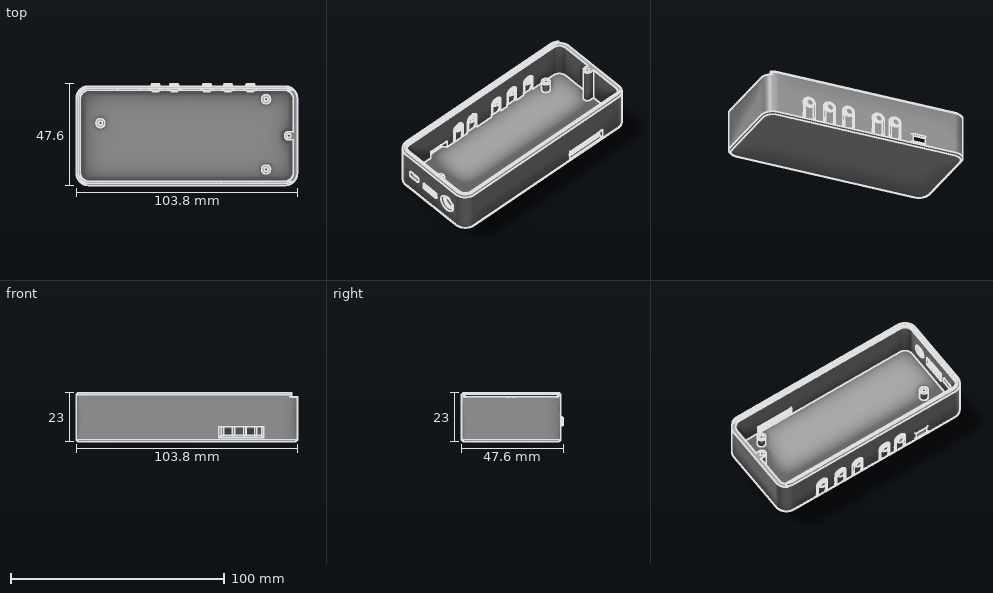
import cadquery as cq
import math

length = 103.8
overall_width = 47.6
height = 23.0
wall = 2.0
floor = 2.0
corner_radius = 6.0
edge_chamfer = 1.0

lid_depth = 2.0
lid_undercut = 1.0
dovetail_height = 1.2
rim_end_x = 49.2

post_radius = 2.1
screw_hole_radius = 0.9
post_height = 5.3
post_centers = [(-40.5, 5.9), (37.2, 17.1), (37.2, -15.8)]
boss_radius = 2.0
boss_x = 47.8

plain_button_x = -14.6
hinged_button_xs = [-5.9, 9.4, 19.3, 29.8]
button_z = 9.5
tongue_radius = 2.1
tongue_gap = 0.9
hinge_top_z = 6.0
hinge_thickness = 1.2
cap_radius = 2.1
cap_height = 1.0
cap_bevel_height = 0.6
cap_bevel_width = 0.3
pusher_base_radius = 1.9
pusher_tip_radius = 1.2
pusher_height = 0.6

wheel_radius = 6.5
wheel_x = -27.1
wheel_inset = 3.8
wheel_height = 4.0

card_left = 15.0
card_right = 36.1
card_bottom = 2.0
card_top = 7.0
card_bevel = 1.0

switch_y = 11.4
switch_z = 11.2
switch_width = 6.0
switch_height = 3.5
switch_corner_radius = 1.0
port_y = 0.6
port_z = 10.3
port_width = 9.4
port_height = 3.5
port_corner_radius = 1.0
port_skin = 1.0
port_pocket_margin = 1.0
jack_y = -11.2
jack_z = 10.9
jack_radius = 3.2
jack_chamfer = 1.0

width = overall_width - cap_height
inner_x = length / 2 - wall
inner_y = width / 2 - wall
outer_y = width / 2
lid_seat_z = height - lid_depth


def rounded_block(x_size, y_size, z_size, radius, z_base):
    """Upright block with rounded vertical corners, standing on z_base."""
    block = cq.Workplane("XY").box(x_size, y_size, z_size, centered=(True, True, False))
    return block.edges("|Z").fillet(radius).translate((0, 0, z_base))


def make_shell():
    """Open-topped case with chamfered outer rims."""
    body = rounded_block(length, width, height, corner_radius, 0)
    body = body.faces(">Z or <Z").chamfer(edge_chamfer)
    cavity = rounded_block(2 * inner_x, 2 * inner_y, height, corner_radius - wall, floor)
    return body.cut(cavity)


def make_lid_groove():
    """Lid-shaped cutter with a dovetail above the seat, running out past the +X end.

    Past rim_end_x it spans the full width, so the side rims end square.
    """
    inset = wall - lid_undercut
    lid_start = -length / 2 + inset
    lid_end = length / 2 + 2 * corner_radius
    lid_length = lid_end - lid_start
    seat_width = width - 2 * inset
    center_x = (lid_start + lid_end) / 2
    taper = math.degrees(math.atan(lid_undercut / dovetail_height))
    dovetail = (
        cq.Workplane("XY", origin=(center_x, 0, lid_seat_z))
        .sketch()
        .rect(lid_length, seat_width)
        .vertices()
        .fillet(corner_radius - inset)
        .finalize()
        .extrude(dovetail_height, taper=taper)
    )
    mouth_length = lid_length - 2 * lid_undercut
    mouth = rounded_block(mouth_length, 2 * inner_y, lid_depth, corner_radius - wall, lid_seat_z)
    mouth = mouth.translate((center_x, 0, 0))
    end_trim = cq.Workplane("XY", origin=(rim_end_x, 0, lid_seat_z)).box(
        length, length, lid_depth, centered=(False, True, False)
    )
    return dovetail.union(mouth).union(end_trim)


def make_boss():
    """Screw boss joined to the +X wall by a rib of its own width."""
    boss_height = lid_seat_z - floor
    rib_length = inner_x - boss_x + wall / 2
    base = cq.Workplane("XY", origin=(boss_x, 0, floor))
    column = base.circle(boss_radius).extrude(boss_height)
    rib = base.center(rib_length / 2, 0).rect(rib_length, 2 * boss_radius).extrude(boss_height)
    hole = base.circle(screw_hole_radius).extrude(boss_height)
    return column.union(rib).cut(hole)


def make_posts():
    base = cq.Workplane("XY", origin=(0, 0, floor)).pushPoints(post_centers)
    return base.circle(post_radius).circle(screw_hole_radius).extrude(post_height)


def make_arch(x, radius):
    """Round-topped upright through the +Y wall, from the floor to the button centre height."""
    return (
        cq.Workplane("XZ", origin=(x, outer_y, 0))
        .moveTo(-radius, floor)
        .lineTo(radius, floor)
        .lineTo(radius, button_z)
        .threePointArc((0, button_z + radius), (-radius, button_z))
        .close()
        .extrude(wall)
    )


def make_hinge_relief(x):
    """Wedge that thins the inner face of a tongue towards the floor."""
    return (
        cq.Workplane("YZ", origin=(x, 0, 0))
        .moveTo(inner_y, hinge_top_z)
        .lineTo(outer_y - hinge_thickness, floor)
        .lineTo(inner_y, floor)
        .close()
        .extrude(tongue_radius, both=True)
    )


def make_button(x, hinged):
    """Springy tongue with an outer cap and a tapered inner pusher."""
    tongue = make_arch(x, tongue_radius)
    if hinged:
        tongue = tongue.cut(make_hinge_relief(x))
    cap = cq.Workplane("XZ", origin=(x, outer_y, button_z)).circle(cap_radius).extrude(-cap_height)
    cap = cap.faces(">Y").chamfer(cap_bevel_height, cap_bevel_width)
    pusher = (
        cq.Workplane("XZ", origin=(x, inner_y, button_z))
        .circle(pusher_base_radius)
        .workplane(offset=pusher_height)
        .circle(pusher_tip_radius)
        .loft()
    )
    return tongue.union(cap).union(pusher)


def make_wheel_cut():
    center_y = inner_y - wheel_inset
    return cq.Workplane("XY", origin=(wheel_x, center_y, floor)).circle(wheel_radius).extrude(wheel_height)


def make_card_cut():
    """Slot with bevelled ends and sill on its outer side and a flat top."""
    slot_width = card_right - card_left
    slot_height = card_top - card_bottom
    center_x = (card_left + card_right) / 2
    throat = (
        cq.Workplane("XY")
        .box(slot_width - 2 * card_bevel, wall, slot_height - card_bevel, centered=(True, False, False))
        .translate((center_x, -outer_y, card_bottom + card_bevel))
    )
    plug = (
        cq.Workplane("XZ", origin=(center_x, -outer_y, card_top))
        .rect(slot_width, 2 * slot_height)
        .extrude(-card_bevel, taper=45)
    )
    below_top = cq.Workplane("XY", origin=(center_x, -outer_y, card_top)).rect(length, width)
    return throat.union(plug.intersect(below_top.extrude(-height)))


def make_port_pocket():
    """Recess that thins the inside of the -X wall around the port."""
    return cq.Workplane("XY", origin=(-length / 2 + port_skin, port_y, port_z)).box(
        wall - port_skin,
        port_width + 2 * port_pocket_margin,
        port_height + 2 * port_pocket_margin,
        centered=(False, True, True),
    )


def make_wall_window(y, z, opening_width, opening_height, radius):
    """Rounded rectangular opening through the -X wall."""
    window = cq.Workplane("XY").box(wall, opening_width, opening_height, centered=(False, True, True))
    return window.edges("|X").fillet(radius).translate((-length / 2, y, z))


def make_jack_cut():
    """Round hole through the -X wall, countersunk on the outside."""
    outside = cq.Workplane("YZ", origin=(-length / 2, jack_y, jack_z))
    countersink = outside.circle(jack_radius + jack_chamfer).extrude(jack_chamfer, taper=45)
    return outside.circle(jack_radius).extrude(wall).union(countersink)


result = make_shell().union(make_boss()).cut(make_lid_groove()).union(make_posts())

for button_x in [plain_button_x] + hinged_button_xs:
    result = result.cut(make_arch(button_x, tongue_radius + tongue_gap))
    result = result.union(make_button(button_x, hinged=button_x != plain_button_x))

result = result.cut(make_wheel_cut()).cut(make_card_cut()).cut(make_jack_cut()).cut(make_port_pocket())
result = result.cut(make_wall_window(switch_y, switch_z, switch_width, switch_height, switch_corner_radius))
result = result.cut(make_wall_window(port_y, port_z, port_width, port_height, port_corner_radius))